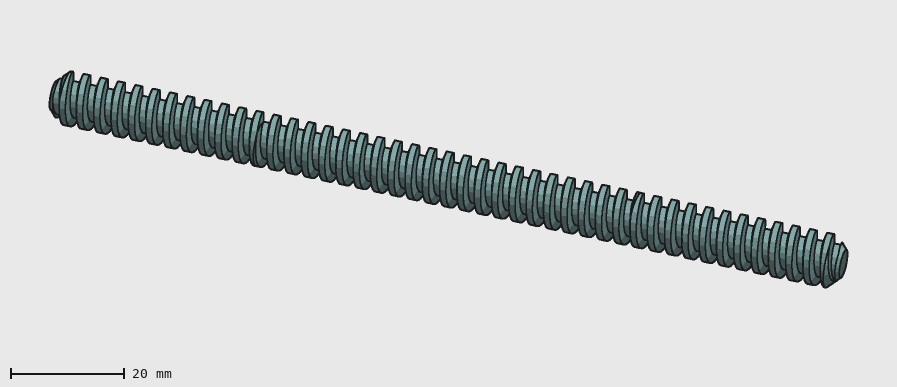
import cadquery as cq
import math

length = 145.0
major_diameter = 9.5
root_diameter = 6.4
end_diameter = 5.1
end_section_length = 38.1

counted_pitches = 10
counted_pitches_length = 31.8
crest_width = 1.2
ridge_base_width = 2.0
groove_start = -0.5
groove_start_angle = -135.0

major_radius = major_diameter / 2
root_radius = root_diameter / 2
chamfer = (major_diameter - end_diameter) / 2
pitch = counted_pitches_length / counted_pitches

clearance = 0.5
cutter_radius = major_radius + clearance
flank_slope = (ridge_base_width - crest_width) / 2 / (major_radius - root_radius)
floor_half_width = (pitch - ridge_base_width) / 2
mouth_half_width = floor_half_width + flank_slope * (cutter_radius - root_radius)

spare_turns = 1
groove_turns = math.ceil(length / pitch) + 2 * spare_turns
first_turn = groove_start - spare_turns * pitch

ORIGIN = cq.Vector(0, 0, 0)
ROD_AXIS = cq.Vector(1, 0, 0)


def plain_cylinder(start, end):
    """Plain length of rod between two places along X."""
    return cq.Workplane("YZ", origin=(start, 0, 0)).circle(major_radius).extrude(end - start)


def groove_corner_helices(x):
    """One-turn helices traced by the four corners of the groove section centred at x."""
    corners = [
        (x - floor_half_width, root_radius),
        (x - mouth_half_width, cutter_radius),
        (x + mouth_half_width, cutter_radius),
        (x + floor_half_width, root_radius),
    ]
    return [
        cq.Wire.makeHelix(pitch, pitch, radius, cq.Vector(corner_x, 0, 0), ROD_AXIS)
        for corner_x, radius in corners
    ]


def groove_section(x):
    """Flat face closing the groove where its section is centred at x."""
    points = [helix.positionAt(0) for helix in groove_corner_helices(x)]
    return cq.Face.makeFromWires(cq.Wire.makePolygon(points, close=True))


def groove_cutter():
    """Right-hand helical groove, built turn by turn from faces ruled between its corner helices."""
    faces = [groove_section(first_turn), groove_section(first_turn + groove_turns * pitch)]
    for turn in range(groove_turns):
        helices = groove_corner_helices(first_turn + turn * pitch)
        for side, helix in enumerate(helices):
            next_helix = helices[(side + 1) % len(helices)]
            faces.append(cq.Face.makeRuledSurface(helix, next_helix))
    cutter = cq.Solid.makeSolid(cq.Shell.makeShell(faces))
    return cutter.rotate(ORIGIN, ROD_AXIS, groove_start_angle)


def end_section(start, end, outer_face, groove):
    """Threaded section with its outer end chamfered down below the thread root."""
    blank = plain_cylinder(start, end).faces(outer_face).chamfer(chamfer)
    return blank.cut(groove)


def middle_section(start, end, groove):
    """Threaded section with a flat joint at each end."""
    return plain_cylinder(start, end).cut(groove)


groove = cq.Workplane(obj=groove_cutter())
left_joint = end_section_length
right_joint = length - end_section_length

end_sections = [
    end_section(start, end, outer_face, groove).solids().val()
    for start, end, outer_face in [(0, left_joint, "<X"), (right_joint, length, ">X")]
]
middle = middle_section(left_joint, right_joint, groove).solids().val()

result = cq.Compound.makeCompound([*end_sections, middle])